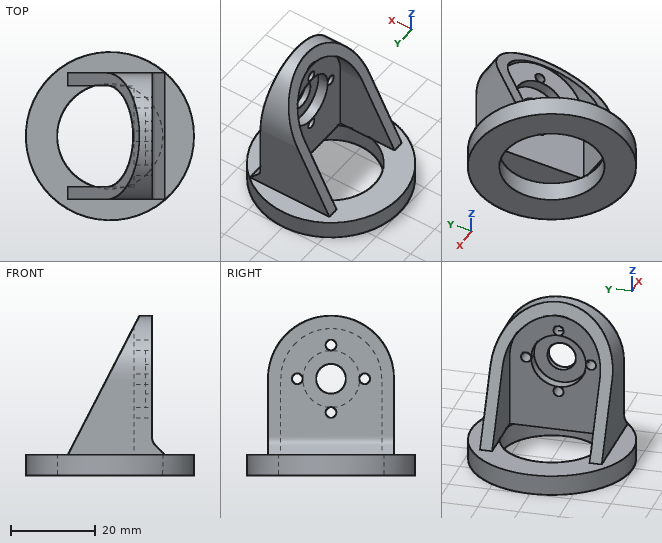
import cadquery as cq

base_diameter = 40
base_thickness = 5
base_bore_diameter = 25

bracket_width = 30
wall_thickness = 3
overall_height = 38
back_x = 10
plate_front_x = 5.7
cheek_toe_x = -10
top_front_x = 7

foot_flare = 3
flare_blend_radius = 3

shaft_hole_diameter = 7
seat_diameter = 13.5
seat_depth = 2.7
screw_hole_diameter = 2.5
screw_circle_radius = 8
screw_count = 4

arch_radius = bracket_width / 2
inner_radius = arch_radius - wall_thickness
axis_z = overall_height - arch_radius
bracket_depth = back_x + foot_flare - cheek_toe_x


def arch(radius, start_x, length):
    """Round-topped block standing on the base, extruded along +X."""
    return (
        cq.Workplane("YZ", origin=(start_x, 0, 0))
        .moveTo(-radius, base_thickness)
        .lineTo(radius, base_thickness)
        .lineTo(radius, axis_z)
        .threePointArc((0, axis_z + radius), (-radius, axis_z))
        .close()
        .extrude(length)
    )


def side_profile():
    """Sloped side outline of the bracket, as wide as the bracket."""
    profile = (
        cq.Workplane("XZ", origin=(0, bracket_width / 2, 0))
        .moveTo(cheek_toe_x, base_thickness)
        .lineTo(back_x + foot_flare, base_thickness)
        .lineTo(back_x, base_thickness + foot_flare)
        .lineTo(back_x, overall_height)
        .lineTo(top_front_x, overall_height)
        .close()
        .extrude(bracket_width)
    )
    flare_edge = cq.selectors.NearestToPointSelector((back_x, 0, base_thickness + foot_flare))
    return profile.edges(flare_edge).fillet(flare_blend_radius)


def bracket():
    outside = arch(arch_radius, cheek_toe_x, bracket_depth)
    inside = arch(inner_radius, cheek_toe_x, plate_front_x - cheek_toe_x)
    return outside.intersect(side_profile()).cut(inside)


def base():
    disc = cq.Workplane("XY").circle(base_diameter / 2).extrude(base_thickness)
    return disc.faces(">Z").workplane().hole(base_bore_diameter)


def plate_holes():
    """Shaft hole, bearing seat and screw holes as one cutting tool."""
    plate_face = cq.Workplane("YZ", origin=(plate_front_x, 0, axis_z))
    plate_thickness = back_x - plate_front_x
    shaft_hole = plate_face.circle(shaft_hole_diameter / 2).extrude(plate_thickness)
    seat = plate_face.circle(seat_diameter / 2).extrude(seat_depth)
    screw_holes = (
        plate_face.polarArray(screw_circle_radius, 0, 360, screw_count)
        .circle(screw_hole_diameter / 2)
        .extrude(plate_thickness)
    )
    return shaft_hole.union(seat).union(screw_holes)


result = base().union(bracket()).cut(plate_holes())